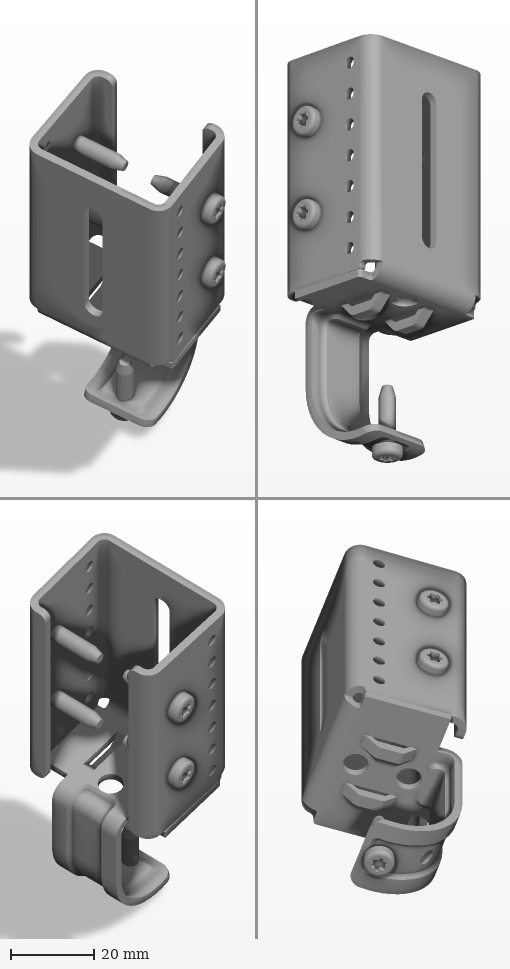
import cadquery as cq
import math

sheet = 2.0
bend_out = 3.9
bend_in = bend_out - sheet
half_width = 20.0
housing_depth = 30.8
housing_top = 62.0
wall_lean = 1.0
lip_end = 12.8
lip_corner = 2.1
wall_gap = 0.1
relief_round = 0.8
overcut = 1.0
pick_margin = 0.1

slot_width = 5.0
slot_bottom = 11.7
slot_top = 51.7

row_hole_diameter = 3.0
row_hole_count = 7
row_hole_pitch = 8.0
row_hole_first_z = 8.3
row_hole_y = 7.5

base_back = 25.7
base_hole_diameter = 6.2
base_hole_y = (8.2, 21.7)

bridge_y = 14.1
bridge_x_inner = 5.8
bridge_x_outer = 9.1
bridge_drop = 3.6
bridge_hollow = 1.2
bridge_foot = 6.8
bridge_hollow_foot = 4.7
bridge_round = 2.0
bridge_hollow_round = 1.0

strap_half_width = 9.9
strap_back = 32.0
strap_radius = 16.9
hook_z = -19.0
hook_y = strap_back - strap_radius
strap_tip_angle = -109.8
tip_corner = 3.1
strap_hole_diameter = 4.1

bead_depth = 1.0
bead_flank = 2.0
bead_form_height = 2.5
bead_form_corner = 3.0
bead_start_y = 24.0
bead_end_angle = -108.0
bead_crest_half_width = 5.6
bead_foot_round = 1.0
groove_floor_half_width = 4.3

shank_diameter = 4.1
screw_tip_diameter = 2.6
screw_length = 15.7
screw_tip_length = 2.7
head_diameter = 7.5
head_height = 2.8
head_round = 1.0
drive_diameter = 4.1
drive_valley_diameter = 3.0
drive_depth = 1.5
drive_lobes = 6
side_screw_y = 20.8
side_screw_z = (20.2, 44.2)
strap_screw_y = bridge_y
strap_screw_z = -36.0


def wall_x(y):
    """Outer half width of the housing at depth y."""
    return half_width - (y - bend_out) * math.tan(math.radians(wall_lean))


def point_at(centre, radius, degrees):
    angle = math.radians(degrees)
    return (centre[0] + radius * math.cos(angle), centre[1] + radius * math.sin(angle))


def edge_near(body, point):
    return body.edges(cq.selectors.NearestToPointSelector(point))


def relief_outline(plane, length):
    """Bend relief, with a rounded inner corner and a flared mouth; local x is the depth."""
    r = relief_round
    mid = r * math.sqrt(0.5)
    return (
        plane.lineTo(bend_out - r, 0)
        .threePointArc((bend_out - r + mid, r - mid), (bend_out, r))
        .lineTo(bend_out, length - r)
        .threePointArc((bend_out + r - mid, length - r + mid), (bend_out + r, length))
        .lineTo(0, length)
        .close()
    )


def make_housing():
    """Front plate, side walls and rear lips."""
    wall_bottom = sheet + wall_gap
    back_x = wall_x(housing_depth)
    inner_back = housing_depth - sheet
    right = [
        (wall_x(0), 0), (back_x, housing_depth), (lip_end, housing_depth), (lip_end, inner_back),
        (wall_x(inner_back) - sheet, inner_back), (wall_x(sheet) - sheet, sheet),
    ]
    left = [(-x, y) for x, y in reversed(right)]
    body = cq.Workplane("XY").workplane(offset=wall_bottom).polyline(right + left).close()
    body = body.extrude(housing_top - wall_bottom)

    def corner_edges(points):
        return [
            edge for edge in body.edges("|Z").vals()
            if any(math.hypot(abs(edge.Center().x) - x, edge.Center().y - y) < pick_margin for x, y in points)
        ]

    body = body.newObject(corner_edges(right[4:])).fillet(bend_in)
    body = body.newObject(corner_edges(right[:2])).fillet(bend_out)
    lips = cq.selectors.BoxSelector(
        (-lip_end - pick_margin, inner_back, 0),
        (lip_end + pick_margin, housing_depth, housing_top + pick_margin),
    )
    body = body.edges(lips).edges("|Y").fillet(lip_corner)

    plane = cq.Plane(origin=(-half_width - overcut, 0, bend_out), xDir=(0, 1, 0), normal=(-1, 0, 0))
    relief = relief_outline(cq.Workplane(plane), bend_out - wall_bottom)
    body = body.cut(relief.extrude(-2 * (half_width + overcut)))

    slot = (
        cq.Workplane("XZ").center(0, (slot_bottom + slot_top) / 2)
        .slot2D(slot_top - slot_bottom, slot_width, 90).extrude(-bend_out)
    )
    row = [(row_hole_y, row_hole_first_z + i * row_hole_pitch) for i in range(row_hole_count)]
    holes = (
        cq.Workplane("YZ").pushPoints(row).circle(row_hole_diameter / 2).extrude(half_width + overcut, both=True)
    )
    screw_holes = (
        cq.Workplane("YZ").pushPoints([(side_screw_y, z) for z in side_screw_z])
        .circle(shank_diameter / 2).extrude(half_width + overcut, both=True)
    )
    return body.cut(slot).cut(holes).cut(screw_holes)


def make_base():
    """Base plate with the bend up to the front plate, the bend reliefs and the bridges."""
    centre = (bend_out, bend_out)
    body = (
        cq.Workplane("YZ").moveTo(0, bend_out)
        .threePointArc(point_at(centre, bend_out, 225), (bend_out, 0))
        .lineTo(base_back, 0).lineTo(base_back, sheet).lineTo(bend_out, sheet)
        .threePointArc(point_at(centre, bend_in, 225), (sheet, bend_out))
        .close().extrude(half_width, both=True)
    )
    for side in (-1, 1):
        origin = (side * (half_width - bend_out), 0, 0)
        plane = cq.Plane(origin=origin, xDir=(0, 1, 0), normal=(0, 0, -side))
        relief = relief_outline(cq.Workplane(plane), bend_out).extrude(bend_out, both=True)
        body = body.cut(relief)
    for x in (bridge_x_inner, -bridge_x_outer):
        body = add_bridge(body, x)
    return body


def trapezoid(x, foot, depth):
    """Prism with 45 degree ends reaching from the base top down to the given depth; foot is at Z = 0."""
    points = [
        (bridge_y - foot - sheet, sheet), (bridge_y - foot + depth, -depth),
        (bridge_y + foot - depth, -depth), (bridge_y + foot + sheet, sheet),
    ]
    width = bridge_x_outer - bridge_x_inner
    return cq.Workplane("YZ").workplane(offset=x).polyline(points).close().extrude(width)


def add_bridge(body, x):
    """Bridge with its hollow, spanning one bridge width in +X from x."""
    solid = trapezoid(x, bridge_foot, bridge_drop).edges("|X and <Z").fillet(bridge_round)
    hollow = trapezoid(x, bridge_hollow_foot, bridge_hollow).edges("|X and <Z").fillet(bridge_hollow_round)
    body = body.union(solid).cut(hollow)
    middle_x = x + (bridge_x_outer - bridge_x_inner) / 2
    for end in (-1, 1):
        rim = (middle_x, bridge_y + end * (bridge_hollow_foot + sheet), sheet)
        body = edge_near(body, rim).fillet(bridge_hollow_round)
    return body


def strap_strip(depth, thickness, strip_half_width, start_y, tip_angle):
    """Strip along the strap, from the given depth below the outer surface of the strap inwards."""
    bend_centre = (strap_back - bend_out, sheet - bend_out)
    bend_r = bend_out - depth
    hook_centre = (hook_y, hook_z)
    hook_r = strap_radius - depth
    path = (
        cq.Workplane("YZ").moveTo(start_y, sheet - depth).lineTo(bend_centre[0], sheet - depth)
        .threePointArc(point_at(bend_centre, bend_r, 45), point_at(bend_centre, bend_r, 0))
        .lineTo(strap_back - depth, hook_z)
        .threePointArc(point_at(hook_centre, hook_r, tip_angle / 2), point_at(hook_centre, hook_r, tip_angle))
    )
    plane = cq.Plane(origin=(0, start_y, sheet - depth), xDir=(1, 0, 0), normal=(0, 1, 0))
    section = cq.Workplane(plane).center(0, thickness / 2).rect(2 * strip_half_width, thickness)
    return section.sweep(path)


def make_strap():
    """Strap with the rear bend, the hook and a rounded tip."""
    body = strap_strip(0, sheet, strap_half_width, base_back, strap_tip_angle)
    tip = point_at((hook_y, hook_z), strap_radius - sheet / 2, strap_tip_angle)
    for side in (-1, 1):
        body = edge_near(body, (side * strap_half_width, *tip)).fillet(tip_corner)
    return body


def bead_form(crest_depth, crest_half_width):
    """Bar along the strap whose flanks and ends slope at 45 degrees up to a crest at the given depth."""
    form_half_width = crest_half_width + bead_flank
    bottom_depth = crest_depth - bead_form_height
    body = strap_strip(bottom_depth, bead_form_height, form_half_width, bead_start_y, bead_end_angle)
    start_z = sheet - crest_depth + bead_form_height / 2
    tip = point_at((hook_y, hook_z), strap_radius - crest_depth + bead_form_height / 2, bead_end_angle)
    for side in (-1, 1):
        for end in ((bead_start_y, start_z), tip):
            body = edge_near(body, (side * form_half_width, *end)).fillet(bead_form_corner)
    return edge_near(body, (0, bead_start_y, sheet - crest_depth)).chamfer(bead_flank)


def add_bead(body):
    """Raise the bead on the inside of the strap and press the matching groove into the outside."""
    raised = bead_form(sheet + bead_depth, bead_crest_half_width)
    groove = bead_form(bead_depth, groove_floor_half_width)
    body = body.union(raised)
    foot = (bead_crest_half_width + bead_depth, strap_back - sheet, (hook_z + sheet - bend_out) / 2)
    body = edge_near(body, foot).fillet(bead_foot_round)
    return body.cut(groove)


def drill_sheet(body):
    """Holes through the base and the strap."""
    for y in base_hole_y:
        body = body.cut(
            cq.Workplane("XY").center(0, y).circle(base_hole_diameter / 2).extrude(bend_out, both=True)
        )
    radial = cq.Plane(origin=(0, hook_y, hook_z), xDir=(1, 0, 0), normal=(0, 1, -1))
    body = body.cut(cq.Workplane(radial).circle(strap_hole_diameter / 2).extrude(2 * strap_radius))
    screw_hole = cq.Workplane("XY").workplane(offset=strap_screw_z).center(0, strap_screw_y)
    return body.cut(screw_hole.circle(shank_diameter / 2).extrude(screw_length))


def make_bracket():
    """Housing, base and hook strap, bent from one sheet."""
    base_and_strap = drill_sheet(add_bead(make_base().union(make_strap())))
    return make_housing().union(base_and_strap)


def make_screw():
    """Lobe-drive screw along Z, with the underside of the head at Z = 0 and the tip upwards."""
    head_r = head_diameter / 2
    shank_r = shank_diameter / 2
    tip_r = screw_tip_diameter / 2
    mid = head_round * math.sqrt(0.5)
    body = (
        cq.Workplane("XZ").moveTo(0, -head_height).lineTo(head_r - head_round, -head_height)
        .threePointArc((head_r - head_round + mid, -head_height + head_round - mid),
                       (head_r, -head_height + head_round))
        .lineTo(head_r, 0).lineTo(shank_r, 0).lineTo(shank_r, screw_length - screw_tip_length)
        .lineTo(tip_r, screw_length).lineTo(0, screw_length).close().revolve(360, (0, 0), (0, 1))
    )
    step = 360 / drive_lobes
    tip, valley = drive_diameter / 2, drive_valley_diameter / 2
    middle = (tip + valley) / 2
    drive = cq.Workplane("XY").workplane(offset=-head_height).moveTo(*point_at((0, 0), middle, -step / 4))
    for lobe in range(drive_lobes):
        a = lobe * step
        drive = drive.threePointArc(point_at((0, 0), tip, a), point_at((0, 0), middle, a + step / 4))
        drive = drive.threePointArc(
            point_at((0, 0), valley, a + step / 2), point_at((0, 0), middle, a + step * 3 / 4)
        )
    return body.cut(drive.close().extrude(drive_depth))


def place_screw(screw, origin, x_direction, axis):
    return screw.located(cq.Location(cq.Plane(origin=origin, xDir=x_direction, normal=axis)))


bracket = make_bracket()
screw = make_screw().val()

seat_x = wall_x(side_screw_y - head_diameter / 2)
side_screws = [
    place_screw(screw, (side * seat_x, side_screw_y, z), (0, 1, 0), (-side, 0, 0))
    for side in (-1, 1)
    for z in side_screw_z
]
strap_screw = place_screw(screw, (0, strap_screw_y, strap_screw_z), (1, 0, 0), (0, 0, 1))

result = cq.Compound.makeCompound([bracket.val(), *side_screws, strap_screw])